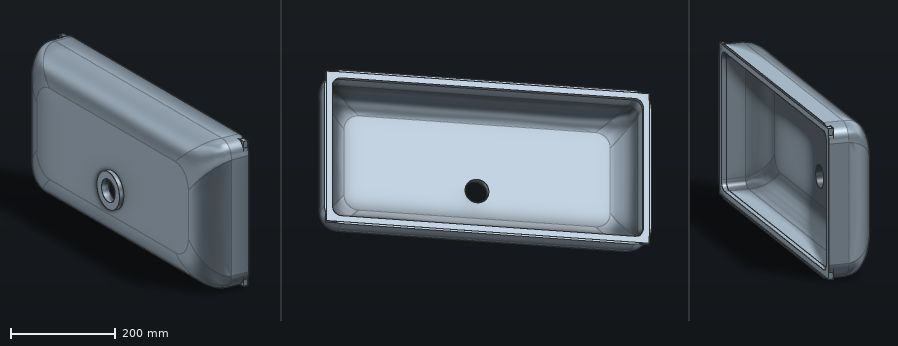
import cadquery as cq
import math

basin_length = 645.04
basin_height = 310.03
basin_depth = 100.0
rim_corner_radius = 34.0
floor_corner_radius = 45.0
floor_edge_radius = 60.0
side_wall = 16.0
floor_thickness = 7.0

arc_steps = 6

frame_length = 637.0
frame_height = 302.0
frame_thickness = 10.0

drain_z = -39.5
collar_diameter = 78.0
collar_height = 10.0
drain_diameter = 46.5

cavity_length = basin_length - 2 * side_wall
cavity_height = basin_height - 2 * side_wall
cavity_depth = basin_depth - floor_thickness
cavity_rim_radius = rim_corner_radius - side_wall
cavity_floor_radius = floor_corner_radius - side_wall
cavity_edge_radius = floor_edge_radius - side_wall


def y_cylinder(diameter, y_start, y_end):
    """Round bar on the drain axis, running forward from y_start to y_end."""
    plane = cq.Workplane("XZ", origin=(0, y_start, drain_z))
    return plane.circle(diameter / 2).extrude(y_start - y_end)


def rounded_section(length, height, corner_radius, y):
    """Rounded rectangle standing square to Y."""
    outline = cq.Workplane("XZ", origin=(0, y, 0)).rect(length, height).val()
    return outline.fillet2D(corner_radius, outline.Vertices())


def bowl(length, height, depth, edge_radius, rim_radius, floor_radius):
    """Solid bowl: straight sides from the rim, rolling into a flat floor."""
    wall_depth = depth - edge_radius
    wall_wire = rounded_section(length, height, rim_radius, 0)
    walls = cq.Solid.extrudeLinear(wall_wire, [], cq.Vector(0, -wall_depth, 0))
    sections = []
    for step in range(arc_steps + 1):
        angle = math.pi / 2 * step / arc_steps
        inset = edge_radius * (1 - math.cos(angle))
        corner_radius = rim_radius + (floor_radius - rim_radius) * step / arc_steps
        y = -wall_depth - edge_radius * math.sin(angle)
        sections.append(rounded_section(length - 2 * inset, height - 2 * inset, corner_radius, y))
    rolled_floor = cq.Solid.makeLoft(sections)
    return cq.Workplane(walls).union(cq.Workplane(rolled_floor))


def frame_plate():
    """Square-cornered plate whose corners stand out past the rounded corners of the rim."""
    return cq.Workplane("XZ").rect(frame_length, frame_height).extrude(frame_thickness)


def basin_cavity():
    """Hollow of the basin, which also opens the frame."""
    return bowl(cavity_length, cavity_height, cavity_depth, cavity_edge_radius,
                cavity_rim_radius, cavity_floor_radius)


def make_frame():
    """Flat ring flush with the back of the basin."""
    return frame_plate().cut(basin_cavity())


def make_basin():
    """Hollow basin with a pierced drain collar and a recess for the frame."""
    outside = bowl(basin_length, basin_height, basin_depth, floor_edge_radius,
                   rim_corner_radius, floor_corner_radius)
    collar = y_cylinder(collar_diameter, -cavity_depth, -basin_depth - collar_height)
    drain = y_cylinder(drain_diameter, 0, -basin_depth - collar_height)
    return outside.union(collar).cut(basin_cavity()).cut(frame_plate()).cut(drain)


basin = make_basin()
frame = make_frame()
result = cq.Compound.makeCompound([basin.solids().val(), frame.solids().val()])